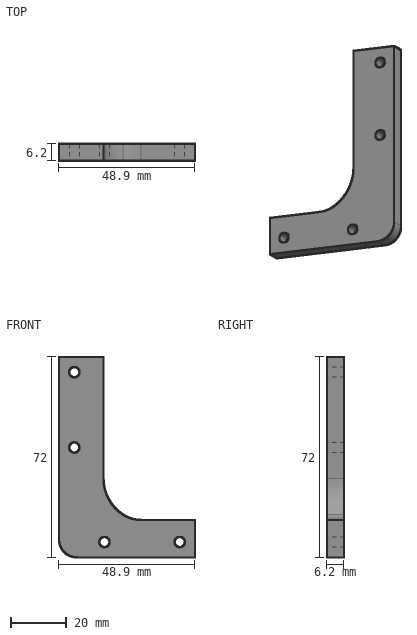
import cadquery as cq
import math

width = 48.9
height = 72.0
thickness = 6.2

arm_width = 16.05
foot_height = 13.55
corner_radius = 6.5

upper_radius = 15.35
lower_radius = 11.7
blend_end_x = 29.4

hole_diameter = 3.6
hole_inset = 5.55
hole_spacing = 27.0

lower_center_z = foot_height + lower_radius
upper_center_x = arm_width + upper_radius
radius_difference = upper_radius - lower_radius
joint_angle = math.asin((upper_center_x - blend_end_x) / radius_difference)
upper_center_z = lower_center_z + radius_difference * math.cos(joint_angle)


def upper_arc_point(angle):
    """Point on the larger arc, with the angle measured from straight down."""
    return (
        upper_center_x - upper_radius * math.sin(angle),
        upper_center_z - upper_radius * math.cos(angle),
    )


def lower_arc_point(angle):
    """Point on the smaller arc, with the angle measured from straight down."""
    return (
        blend_end_x - lower_radius * math.sin(angle),
        lower_center_z - lower_radius * math.cos(angle),
    )


def make_plate():
    """L-shaped plate with its front face on Y = 0, extending toward +Y."""
    quarter_turn = math.pi / 2
    return (
        cq.Workplane("XZ")
        .lineTo(width, 0)
        .lineTo(width, foot_height)
        .lineTo(blend_end_x, foot_height)
        .threePointArc(lower_arc_point(joint_angle / 2), lower_arc_point(joint_angle))
        .threePointArc(
            upper_arc_point((joint_angle + quarter_turn) / 2),
            upper_arc_point(quarter_turn),
        )
        .lineTo(arm_width, height)
        .lineTo(0, height)
        .close()
        .extrude(-thickness)
        .edges("|Y and <X and <Z")
        .fillet(corner_radius)
    )


def make_holes():
    """Cylinders that cut the four mounting holes through the plate."""
    top_hole_z = height - hole_inset
    end_hole_x = width - hole_inset
    centers = [
        (hole_inset, top_hole_z),
        (hole_inset, top_hole_z - hole_spacing),
        (end_hole_x - hole_spacing, hole_inset),
        (end_hole_x, hole_inset),
    ]
    return (
        cq.Workplane("XZ")
        .pushPoints(centers)
        .circle(hole_diameter / 2)
        .extrude(-thickness)
    )


result = make_plate().cut(make_holes())